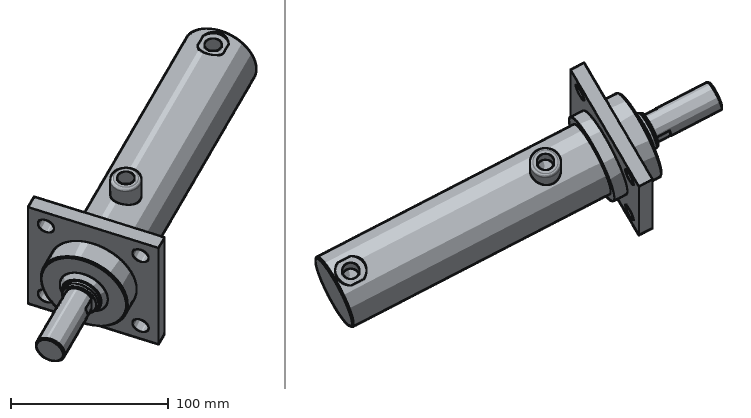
import cadquery as cq
import math

total_length = 276.0

barrel_diameter = 50.0
barrel_end_chamfer = 0.8

collar_diameter = 60.0
collar_front_y = 55.0
collar_rear_y = 89.5
collar_chamfer = 0.8

flange_side = 90.0
flange_thickness = 10.0
flange_front_y = 70.0
bolt_hole_diameter = 11.0
bolt_spacing = 65.0

rod_diameter = 25.0
rod_shoulder_y = 47.5
rod_shoulder_chamfer_length = 1.7
rod_shoulder_chamfer_depth = 0.8
rod_end_diameter = 20.0
rod_tip_chamfer = 0.8
wrench_flat_width = 17.0
wrench_flat_length = 10.0

wiper_base_diameter = 33.0
wiper_tip_diameter = 27.0
wiper_length = 3.3

port_diameter = 11.0
port_depth = 11.0
port_drill_angle = 118.0
port_boss_diameter = 20.0
port_boss_top_z = 39.0
port_boss_fillet = 2.0
front_port_y = 122.8
rear_port_y = 263.5
rear_spotface_diameter = 20.0
rear_spotface_chord = 17.7

rear_spotface_z = math.sqrt((barrel_diameter / 2) ** 2 - (rear_spotface_chord / 2) ** 2)


def y_cylinder(diameter, start_y, end_y):
    """Cylinder on the Y axis between two stations."""
    return (
        cq.Workplane("XZ", origin=(0, start_y, 0))
        .circle(diameter / 2)
        .extrude(start_y - end_y)
    )


def make_flange():
    """Square plate with a bolt hole near each corner."""
    return (
        cq.Workplane("XZ", origin=(0, flange_front_y, 0))
        .rect(flange_side, flange_side)
        .rect(bolt_spacing, bolt_spacing, forConstruction=True)
        .vertices()
        .circle(bolt_hole_diameter / 2)
        .extrude(-flange_thickness)
    )


def make_wiper_seat():
    """Cone that narrows from the collar face to a thin rim around the rod."""
    tip_y = collar_front_y - wiper_length
    return (
        cq.Workplane("XY")
        .moveTo(0, tip_y)
        .lineTo(wiper_tip_diameter / 2, tip_y)
        .lineTo(wiper_base_diameter / 2, collar_front_y)
        .lineTo(0, collar_front_y)
        .close()
        .revolve(360, (0, 0, 0), (0, 1, 0))
    )


def make_port_boss():
    """Upright boss on the barrel with a rounded top edge."""
    return (
        cq.Workplane("XY", origin=(0, front_port_y, 0))
        .circle(port_boss_diameter / 2)
        .extrude(port_boss_top_z)
        .faces(">Z")
        .edges()
        .fillet(port_boss_fillet)
    )


def make_port_bore(port_y, mouth_z):
    """Blind drilled bore with a conical bottom, going down from mouth_z."""
    radius = port_diameter / 2
    cone_height = radius / math.tan(math.radians(port_drill_angle / 2))
    return (
        cq.Workplane("XZ", origin=(0, port_y, 0))
        .moveTo(0, mouth_z)
        .lineTo(radius, mouth_z)
        .lineTo(radius, mouth_z - port_depth)
        .lineTo(0, mouth_z - port_depth - cone_height)
        .close()
        .revolve(360, (0, 0, 0), (0, 1, 0))
    )


def make_rear_spotface():
    """Cutter that flattens the barrel around the rear port."""
    return (
        cq.Workplane("XY", origin=(0, rear_port_y, rear_spotface_z))
        .circle(rear_spotface_diameter / 2)
        .extrude(barrel_diameter / 2)
    )


def make_housing():
    """Barrel, collar, flange, wiper seat and ports in one solid, with a socket for the rod."""
    barrel = y_cylinder(barrel_diameter, collar_front_y, total_length)
    barrel = barrel.faces(">Y").edges().chamfer(barrel_end_chamfer)
    collar = y_cylinder(collar_diameter, collar_front_y, collar_rear_y)
    collar = collar.faces("<Y").edges().chamfer(collar_chamfer)
    body = barrel.union(collar).union(make_flange()).union(make_wiper_seat()).union(make_port_boss())
    body = body.cut(make_rear_spotface())
    body = body.cut(make_port_bore(front_port_y, port_boss_top_z))
    body = body.cut(make_port_bore(rear_port_y, rear_spotface_z))
    return body.cut(y_cylinder(rod_diameter, 0, collar_rear_y))


def make_rod_shaft():
    """Thick part of the rod, which fills the socket and has a chamfered shoulder."""
    radius = rod_diameter / 2
    return (
        cq.Workplane("XY")
        .moveTo(0, rod_shoulder_y)
        .lineTo(radius - rod_shoulder_chamfer_depth, rod_shoulder_y)
        .lineTo(radius, rod_shoulder_y + rod_shoulder_chamfer_length)
        .lineTo(radius, collar_rear_y)
        .lineTo(0, collar_rear_y)
        .close()
        .revolve(360, (0, 0, 0), (0, 1, 0))
    )


def make_rod():
    """Thick shaft with a thinner end and a pair of wrench flats."""
    shaft = make_rod_shaft()
    end = y_cylinder(rod_end_diameter, 0, rod_shoulder_y)
    end = end.faces("<Y").edges().chamfer(rod_tip_chamfer)
    flat_center_y = rod_shoulder_y - wrench_flat_length / 2
    flat_zone = cq.Workplane("XY").box(rod_end_diameter, wrench_flat_length, rod_end_diameter)
    kept_core = cq.Workplane("XY").box(wrench_flat_width, wrench_flat_length, rod_end_diameter)
    flats = flat_zone.cut(kept_core).translate((0, flat_center_y, 0))
    return shaft.union(end.cut(flats))


housing = make_housing()
rod = make_rod()

result = cq.Compound.makeCompound([housing.val(), rod.val()])